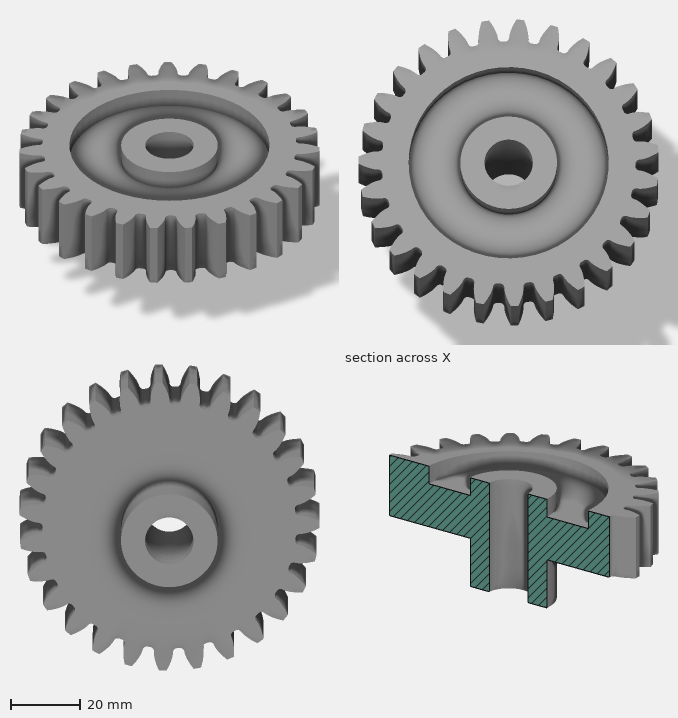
import cadquery as cq
import math

MODULE = 3.0
TOOTH_COUNT = 27
PRESSURE_ANGLE = math.radians(20)
DEDENDUM_FACTOR = 1.25
ROOT_FILLET_RADIUS = 1.25
FIRST_TOOTH_ANGLE = math.radians(-90)
FLANK_INTERVALS = 6

FACE_WIDTH = 19.0
HUB_LENGTH = 15.0
HUB_DIAMETER = 28.0
BORE_DIAMETER = 14.0
RECESS_DIAMETER = 58.0
RECESS_DEPTH = 5.5

PITCH_RADIUS = MODULE * TOOTH_COUNT / 2
BASE_RADIUS = PITCH_RADIUS * math.cos(PRESSURE_ANGLE)
TIP_RADIUS = PITCH_RADIUS + MODULE
ROOT_RADIUS = PITCH_RADIUS - DEDENDUM_FACTOR * MODULE
TOOTH_PITCH = 2 * math.pi / TOOTH_COUNT


def involute(pressure_angle):
    """Polar angle of an involute point, measured from its start on the base circle."""
    return math.tan(pressure_angle) - pressure_angle


BASE_HALF_ANGLE = TOOTH_PITCH / 4 + involute(PRESSURE_ANGLE)


def polar(radius, angle):
    return (radius * math.cos(angle), radius * math.sin(angle))


def flank_half_angle(radius):
    """Half of the angle a tooth spans at a radius on its involute flank."""
    return BASE_HALF_ANGLE - involute(math.acos(BASE_RADIUS / radius))


def flank_points(center_angle, side):
    """Points from base circle to tip; side is -1 for the leading flank, +1 for the trailing one."""
    points = []
    for i in range(FLANK_INTERVALS + 1):
        radius = BASE_RADIUS + (TIP_RADIUS - BASE_RADIUS) * i / FLANK_INTERVALS
        points.append(polar(radius, center_angle + side * flank_half_angle(radius)))
    return points


FILLET_CENTER_RADIUS = ROOT_RADIUS + ROOT_FILLET_RADIUS
FILLET_ANGLE = math.asin(ROOT_FILLET_RADIUS / FILLET_CENTER_RADIUS)
FILLET_TOP_RADIUS = FILLET_CENTER_RADIUS * math.cos(FILLET_ANGLE)


def root_fillet(center_angle, side):
    """Start, middle and end of a root fillet, from the radial flank down to the root circle."""
    flank_angle = center_angle + side * BASE_HALF_ANGLE
    root_angle = flank_angle + side * FILLET_ANGLE
    fillet_x, fillet_y = polar(FILLET_CENTER_RADIUS, root_angle)
    middle_angle = (root_angle + flank_angle) / 2 - side * 3 * math.pi / 4
    middle_x, middle_y = polar(ROOT_FILLET_RADIUS, middle_angle)
    return (
        polar(FILLET_TOP_RADIUS, flank_angle),
        (fillet_x + middle_x, fillet_y + middle_y),
        polar(ROOT_RADIUS, root_angle),
    )


def add_tooth(outline, center_angle):
    """Draw one tooth and the root gap after it, starting at the foot of its leading root fillet."""
    fillet_top, fillet_middle, _ = root_fillet(center_angle, -1)
    leading = flank_points(center_angle, -1)
    trailing = flank_points(center_angle, 1)
    trailing.reverse()
    outline = outline.threePointArc(fillet_middle, fillet_top).lineTo(*leading[0])
    outline = outline.spline(leading[1:], includeCurrent=True)
    outline = outline.threePointArc(polar(TIP_RADIUS, center_angle), trailing[0])
    outline = outline.spline(trailing[1:], includeCurrent=True)

    fillet_top, fillet_middle, fillet_foot = root_fillet(center_angle, 1)
    gap_middle = polar(ROOT_RADIUS, center_angle + TOOTH_PITCH / 2)
    next_foot = root_fillet(center_angle + TOOTH_PITCH, -1)[2]
    outline = outline.lineTo(*fillet_top).threePointArc(fillet_middle, fillet_foot)
    return outline.threePointArc(gap_middle, next_foot)


def make_rim():
    """Toothed disc from the underside of the rim up to its top face."""
    outline = cq.Workplane("XY").moveTo(*root_fillet(FIRST_TOOTH_ANGLE, -1)[2])
    for i in range(TOOTH_COUNT):
        outline = add_tooth(outline, FIRST_TOOTH_ANGLE + i * TOOTH_PITCH)
    return outline.close().extrude(FACE_WIDTH)


def make_recess():
    """Disc of material removed from the top face around the hub."""
    floor = cq.Workplane("XY").workplane(offset=FACE_WIDTH - RECESS_DEPTH)
    return floor.circle(RECESS_DIAMETER / 2).extrude(RECESS_DEPTH)


def make_cylinder(diameter):
    """Cylinder on the gear axis, over the full length of the part."""
    bottom = cq.Workplane("XY").workplane(offset=-HUB_LENGTH)
    return bottom.circle(diameter / 2).extrude(HUB_LENGTH + FACE_WIDTH)


result = make_rim().cut(make_recess()).union(make_cylinder(HUB_DIAMETER)).cut(make_cylinder(BORE_DIAMETER))